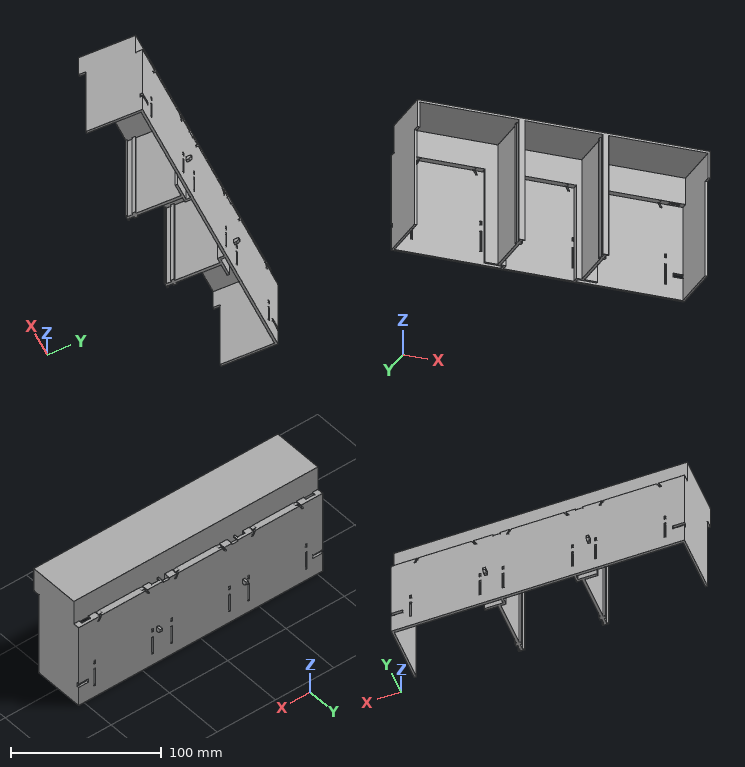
import cadquery as cq


width = 209.5
height = 90.0
hood_depth = 42.1
back_y = 47.1
pin_tip_y = 51.0
shell = 1.7
half_width = width / 2
inner_half = half_width - shell

ledge_top = 70.0
ledge_thickness = 1.0
ledge_bottom = ledge_top - ledge_thickness
side_front_y = 5.2

rear_wall_thickness = 1.7
rear_wall_y = hood_depth - rear_wall_thickness
plate_thickness = 1.9
plate_y = back_y - plate_thickness
middle_opening_half = 25.1
side_opening_inner = 40.2

divider_x = 30.0
divider_width = 4.5
divider_web = 2.0
flange_depth = 1.0
lip_front_y = 4.8
lip_back_y = 7.3

ledge_hole_depth = 2.5
outer_hole_x = (92.4, 100.0)
inner_hole_x = (33.5, 40.0)
divider_notch_x = (26.8, 32.0)

side_bay_x = 66.0
slot_spacing = 49.5
slot_width = 1.3
short_slot_z = (29.7, 32.3)
long_slot_z = (10.0, 25.0)

hook_outer_offset = 20.1
hook_slot_width = 1.3
hook_slot_bottom = 66.2
hook_slant = 2.0
ramp_length = 3.1
ramp_drop = 0.8

side_notch_length = 8.4
side_notch_z = (16.3, 19.0)
pin_x = 36.9
pin_width = 1.9
pin_z = (28.5, 32.3)
pin_chamfer = 1.7


def block(x_range, y_range, z_range):
    """Axis-aligned box between pairs of limits."""
    size = [max(r) - min(r) for r in (x_range, y_range, z_range)]
    corner = (min(x_range), min(y_range), min(z_range))
    return cq.Workplane("XY").box(*size, centered=False).translate(corner)


def front_prism(points, y_range):
    """Extrude an XZ outline between two depths."""
    depth = y_range[1] - y_range[0]
    return cq.Workplane("XZ", origin=(0, y_range[0], 0)).polyline(points).close().extrude(-depth)


def mirrored(solid):
    """The solid together with its mirror image across X = 0."""
    return solid.union(solid.mirror("YZ"))


def make_side_wall():
    x_range = (inner_half, half_width)
    upper = block(x_range, (0, hood_depth), (ledge_bottom, height))
    upper = upper.cut(block(x_range, (0, side_front_y), (ledge_bottom, ledge_top)))
    lower = block(x_range, (side_front_y, back_y), (0, ledge_top))
    return upper.union(lower)


def make_rear_wall():
    """Rear wall of the hood with one opening per bay, open at the bottom."""
    y_range = (rear_wall_y, hood_depth)
    wall = block((-half_width, half_width), y_range, (0, height))
    middle = block((-middle_opening_half, middle_opening_half), y_range, (0, ledge_bottom))
    side = block((side_opening_inner, inner_half), y_range, (0, ledge_bottom))
    return wall.cut(middle).cut(mirrored(side))


def make_divider():
    """Web with a front flange and a lip behind it that leaves a groove between them."""
    def slab(slab_width, y_range):
        return block((divider_x - slab_width / 2, divider_x + slab_width / 2), y_range, (0, height))

    web = slab(divider_web, (0, hood_depth))
    flange = slab(divider_width, (0, flange_depth))
    lip = slab(divider_width, (lip_front_y, lip_back_y))
    return web.union(flange).union(lip)


def make_spacer():
    """Strip joining the rear wall to the back plate beside the middle opening."""
    x_range = (middle_opening_half, divider_notch_x[0])
    return block(x_range, (hood_depth, plate_y), (0, ledge_top))


def make_pin():
    tip_z = pin_z[0] + pin_chamfer
    outline = [
        (plate_y, pin_z[0]),
        (pin_tip_y - pin_chamfer, pin_z[0]),
        (pin_tip_y, tip_z),
        (pin_tip_y, pin_z[1]),
        (plate_y, pin_z[1]),
    ]
    start = cq.Workplane("YZ", origin=(pin_x - pin_width / 2, 0, 0))
    return start.polyline(outline).close().extrude(pin_width)


def make_ledge_openings():
    """Two holes through the ledge and a notch behind the divider, on the +X half."""
    hole_y = (hood_depth, hood_depth + ledge_hole_depth)
    ledge_z = (ledge_bottom, ledge_top)
    openings = block(outer_hole_x, hole_y, ledge_z)
    openings = openings.union(block(inner_hole_x, hole_y, ledge_z))
    return openings.union(block(divider_notch_x, (hood_depth, back_y), ledge_z))


def make_hook_slot():
    """Hook slot on the +X side of a bay centred at X = 0."""
    outer = hook_outer_offset
    inner = outer - hook_slot_width
    slot = front_prism(
        [
            (outer, ledge_top),
            (inner, ledge_top),
            (inner + hook_slant, hook_slot_bottom),
            (outer + hook_slant, hook_slot_bottom),
        ],
        (plate_y, back_y),
    )
    ramp = front_prism(
        [
            (outer, ledge_top),
            (outer - ramp_length, ledge_top),
            (outer, ledge_top - ramp_drop),
        ],
        (hood_depth, plate_y),
    )
    return slot.union(ramp)


def make_bay_cutouts():
    """Hook slots and upright slots for a bay centred at X = 0."""
    slot_x = (slot_spacing / 2 - slot_width / 2, slot_spacing / 2 + slot_width / 2)
    cutouts = make_hook_slot()
    for z_range in (short_slot_z, long_slot_z):
        cutouts = cutouts.union(block(slot_x, (plate_y, back_y), z_range))
    return mirrored(cutouts)


result = block((-half_width, half_width), (0, hood_depth), (height - shell, height))
result = result.union(make_rear_wall())
result = result.union(block((-half_width, half_width), (plate_y, back_y), (0, ledge_top)))
result = result.union(
    block((-half_width, half_width), (rear_wall_y, back_y), (ledge_bottom, ledge_top))
)
for feature in (make_side_wall(), make_divider(), make_spacer(), make_pin()):
    result = result.union(mirrored(feature))

result = result.cut(mirrored(make_ledge_openings()))
for bay_x in (-side_bay_x, 0, side_bay_x):
    result = result.cut(make_bay_cutouts().translate((bay_x, 0, 0)))
side_notch = block((half_width - side_notch_length, half_width), (plate_y, back_y), side_notch_z)
result = result.cut(mirrored(side_notch)).clean()